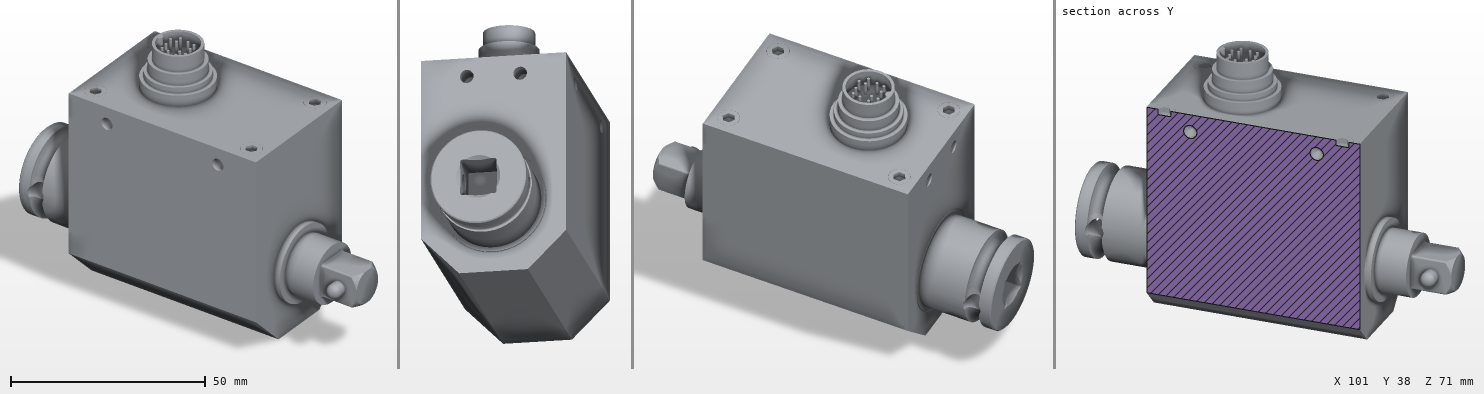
import cadquery as cq
import math

overall_length = 101.0

housing_start = 20.5
housing_length = 59.0
housing_width = 38.0
housing_height = 58.0
housing_chamfer = 10.0
housing_end = housing_start + housing_length
housing_middle = housing_start + housing_length / 2
axis_height = housing_width / 2

seal_outer_diameter = 28.0
seal_width = 0.3
seal_depth = 0.3

mount_diameter = 3.5
mount_depth = 6.1
mount_tip_angle = 118.0
mount_drop = 4.9
side_mount_spacing = 34.9
end_mount_spacing = 13.9

screw_inset = 4.9
counterbore_diameter = 5.9
screw_head_diameter = 5.8
screw_head_height = 3.0
hex_corner_diameter = 3.4
hex_depth = 1.5

collar_diameter = 25.0
collar_chamfer = 0.3
collar_groove_start = 3.4
collar_groove_width = 4.0
collar_groove_diameter = 20.0
collar_pin_hole_diameter = 5.0
socket_size = 9.5
socket_corner_radius = 0.5
socket_depth = 11.1
socket_mouth_diameter = 11.5

flange_diameter = 22.0
flange_thickness = 1.8
shaft_diameter = 17.0
drive_start = 90.0
drive_length = overall_length - drive_start
drive_size = 9.5
drive_edge_radius = 0.5
drive_tip_diameter = 9.7
detent_x = 95.4
detent_diameter = 4.0
detent_reach = 8.7

connector_x = 41.4
connector_steps = [(20.0, 3.3), (17.8, 5.0), (15.7, 8.4), (13.4, 13.0)]
connector_bore_diameter = 11.8
connector_bore_depth = 4.7
key_radius = 1.0
contact_diameter = 0.76
contact_length = 3.8
contact_rings = [(4.1, (45, 117, 153)), (3.3, (14.5, 75.5)), (2.5, (135,))]


def rod_x(diameter, start, end):
    """Round bar along the shaft axis."""
    plane = cq.Workplane("YZ", origin=(start, 0, axis_height))
    return plane.circle(diameter / 2).extrude(end - start)


def cylinder_z(diameter, x, y, bottom, height):
    """Upright round bar."""
    return cq.Workplane("XY", origin=(x, y, bottom)).circle(diameter / 2).extrude(height)


def drilled_hole(point, direction):
    """Cutter for a blind hole with a conical drill tip."""
    radius = mount_diameter / 2
    tip = radius / math.tan(math.radians(mount_tip_angle / 2))
    start = cq.Vector(*point)
    axis = cq.Vector(*direction)
    bore = cq.Solid.makeCylinder(radius, mount_depth, start, axis)
    cone = cq.Solid.makeCone(radius, 0, tip, start + axis * mount_depth, axis)
    return cq.Workplane(bore).union(cq.Workplane(cone))


def make_housing():
    block = cq.Workplane("XY").box(
        housing_length, housing_width, housing_height, centered=(True, True, False)
    )
    block = block.translate((housing_middle, 0, 0))
    block = block.edges("|X and <Z").chamfer(housing_chamfer)

    seal = rod_x(seal_outer_diameter, housing_start, housing_start + seal_depth)
    seal = seal.cut(
        rod_x(seal_outer_diameter - 2 * seal_width, housing_start, housing_start + seal_depth)
    )
    block = block.cut(seal)

    mount_height = housing_height - mount_drop
    for side in (-1, 1):
        side_x = housing_middle + side * side_mount_spacing / 2
        block = block.cut(drilled_hole((side_x, -housing_width / 2, mount_height), (0, 1, 0)))
        end_y = side * end_mount_spacing / 2
        block = block.cut(drilled_hole((housing_start, end_y, mount_height), (1, 0, 0)))
    return block


def add_cover_screws(body):
    """Flush socket-head screws in slightly wider counterbores at the four corners."""
    seat = housing_height - screw_head_height
    screw_y = housing_width / 2 - screw_inset
    for x in (housing_start + screw_inset, housing_end - screw_inset):
        for y in (-screw_y, screw_y):
            gap = cylinder_z(counterbore_diameter, x, y, seat, screw_head_height)
            gap = gap.cut(cylinder_z(screw_head_diameter, x, y, seat, screw_head_height))
            hex_plane = cq.Workplane("XY", origin=(x, y, housing_height))
            hex_recess = hex_plane.polygon(6, hex_corner_diameter).extrude(-hex_depth)
            body = body.cut(gap).cut(hex_recess)
    return body


def make_collar():
    collar = rod_x(collar_diameter, 0, housing_start).faces("<X").chamfer(collar_chamfer)

    groove_radius = collar_groove_width / 2
    groove_x = collar_groove_start + groove_radius
    bottom = axis_height + collar_groove_diameter / 2
    rim = axis_height + collar_diameter / 2
    groove = (
        cq.Workplane("XZ")
        .moveTo(collar_groove_start, rim)
        .lineTo(collar_groove_start, bottom + groove_radius)
        .threePointArc(
            (groove_x, bottom),
            (collar_groove_start + collar_groove_width, bottom + groove_radius),
        )
        .lineTo(collar_groove_start + collar_groove_width, rim)
        .close()
        .revolve(360, (0, axis_height, 0), (1, axis_height, 0))
    )

    socket = cq.Workplane("YZ", origin=(0, 0, axis_height)).rect(socket_size, socket_size)
    socket = socket.extrude(socket_depth).edges("|X").fillet(socket_corner_radius)
    mouth_radius = socket_mouth_diameter / 2
    mouth = cq.Solid.makeCone(
        mouth_radius, 0, mouth_radius, cq.Vector(0, 0, axis_height), cq.Vector(1, 0, 0)
    )
    pin_hole = cq.Workplane("XZ", origin=(groove_x, 0, axis_height))
    pin_hole = pin_hole.circle(collar_pin_hole_diameter / 2).extrude(collar_diameter, both=True)
    return collar.cut(groove).cut(socket).cut(cq.Workplane(mouth)).cut(pin_hole)


def make_drive():
    flange = rod_x(flange_diameter, housing_end, housing_end + flange_thickness)
    shaft = rod_x(shaft_diameter, housing_end, drive_start)

    square = cq.Workplane("YZ", origin=(drive_start, 0, axis_height)).rect(drive_size, drive_size)
    square = square.extrude(drive_length).edges("|X").fillet(drive_edge_radius)
    corner_diameter = drive_size * math.sqrt(2)
    taper = (corner_diameter - drive_tip_diameter) / 2
    envelope = rod_x(corner_diameter, drive_start, overall_length).faces(">X").chamfer(taper)
    square = square.intersect(envelope)

    clearance = 0.1
    reach = drive_size / 2 + clearance
    root_edges = cq.selectors.BoxSelector(
        (drive_start - clearance, -reach, axis_height - reach),
        (drive_start + clearance, reach, axis_height + reach),
        boundingbox=True,
    )
    drive = shaft.union(square).edges(root_edges).fillet(drive_edge_radius)

    detent_radius = detent_diameter / 2
    stem_length = detent_reach - detent_radius
    detent = cq.Workplane("XZ", origin=(detent_x, 0, axis_height))
    detent = detent.circle(detent_radius).extrude(stem_length)
    dome = cq.Workplane("XY", origin=(detent_x, -stem_length, axis_height)).sphere(detent_radius)
    detent = detent.union(dome)
    return flange.union(drive).union(detent)


def make_connector():
    connector = None
    for diameter, top in connector_steps:
        step = cylinder_z(diameter, connector_x, 0, housing_height, top)
        connector = step if connector is None else connector.union(step)
    floor = housing_height + connector_steps[-1][1] - connector_bore_depth
    bore = cylinder_z(connector_bore_diameter, connector_x, 0, floor, connector_bore_depth)

    key_x = connector_x - connector_bore_diameter / 2
    key = cylinder_z(2 * key_radius, key_x, 0, floor, connector_bore_depth)
    connector = connector.cut(bore.cut(key))

    for radius, angles in contact_rings:
        for angle in angles:
            for half_turn in (0, 180):
                turn = math.radians(angle + half_turn)
                x = connector_x + radius * math.cos(turn)
                y = radius * math.sin(turn)
                contact = cylinder_z(contact_diameter, x, y, floor, contact_length)
                connector = connector.union(contact)
    return connector


housing = add_cover_screws(make_housing())
result = housing.union(make_collar()).union(make_drive()).union(make_connector())